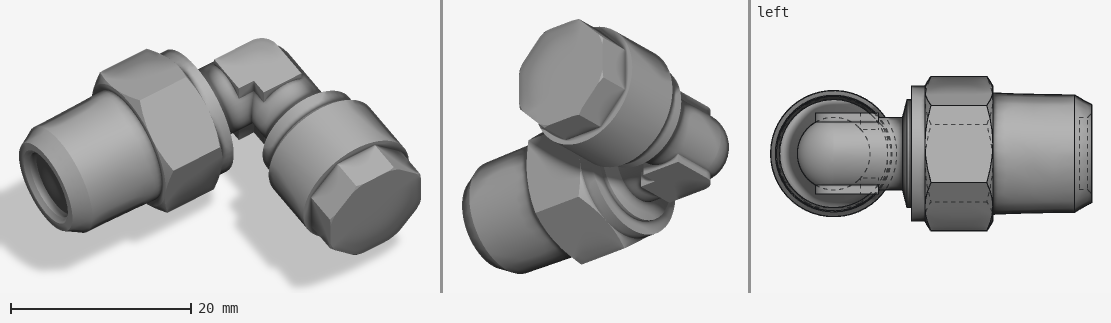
import cadquery as cq
import math


pipe_radius = 4.03
shoulder_radius = 6.0

block_height = 8.98
block_back = 2.0
block_front = 5.0
block_notch = 3.0

cap_shoulder_start = 8.65
cap_shoulder_cone_length = 0.35
cap_shoulder_round_length = 0.3
cap_shoulder_cone_radius = 5.4
cap_start = 11.55
cap_end = 19.1
cap_diameter = 14.0
cap_radius = cap_diameter / 2
cap_chamfer = 0.55
cap_mouth_radius = 6.35
cap_mouth_depth = 0.7
octagon_end = 23.1
octagon_sides = 8
octagon_across_flats = 2 * shoulder_radius
octagon_chamfer_radius = 6.2
octagon_chamfer_length = 0.18

neck_cone_start = 7.63
neck_start = 8.13
flange_start = 8.62
hex_start = 10.12
hex_end = 17.65
thread_chamfer_start = 26.7
overall_length = 35.65
thread_end = overall_length - cap_radius
thread_root_radius = 6.75
thread_tip_radius = 6.52
thread_chamfer_radius = 5.4

hex_sides = 6
hex_across_flats = 15.0
flange_radius = hex_across_flats / 2
hex_turn = 8.2
hex_chamfer_angle = 30

recess_radius = 4.0
recess_chamfer = 0.5
recess_depth = 1.4


def corner_radius(across_flats, sides):
    return across_flats / 2 / math.cos(math.pi / sides)


def make_elbow():
    cap_pipe = cq.Workplane("YZ").circle(pipe_radius).extrude(cap_shoulder_start)
    thread_pipe = cq.Workplane("XZ").circle(pipe_radius).extrude(neck_cone_start)
    return cap_pipe.union(thread_pipe).union(cq.Workplane("XY").sphere(pipe_radius))


def make_block():
    arc_middle = block_back * math.sqrt(0.5)
    return (
        cq.Workplane("XY")
        .moveTo(0, block_back)
        .lineTo(block_front, block_back)
        .lineTo(block_front, -block_notch)
        .lineTo(block_notch, -block_notch)
        .lineTo(block_notch, -block_front)
        .lineTo(-block_back, -block_front)
        .lineTo(-block_back, 0)
        .threePointArc((-arc_middle, arc_middle), (0, block_back))
        .close()
        .extrude(block_height / 2, both=True)
    )


def make_cap_arm():
    cone_end = cap_shoulder_start + cap_shoulder_cone_length
    round_end = cone_end + cap_shoulder_round_length
    turned = (
        cq.Workplane("XY")
        .moveTo(cap_shoulder_start, 0)
        .lineTo(cap_shoulder_start, pipe_radius)
        .lineTo(cone_end, cap_shoulder_cone_radius)
        .tangentArcPoint((round_end, shoulder_radius), relative=False)
        .lineTo(cap_start + cap_mouth_depth, shoulder_radius)
        .lineTo(cap_start, cap_mouth_radius)
        .lineTo(cap_start, cap_radius - cap_chamfer)
        .lineTo(cap_start + cap_chamfer, cap_radius)
        .lineTo(cap_end, cap_radius)
        .lineTo(cap_end, 0)
        .close()
        .revolve(360, (0, 0), (1, 0))
    )
    outer = corner_radius(octagon_across_flats, octagon_sides)
    octagon = (
        cq.Workplane("YZ", origin=(cap_end, 0, 0))
        .transformed(rotate=(0, 0, 180 / octagon_sides))
        .polygon(octagon_sides, 2 * outer)
        .extrude(octagon_end - cap_end)
    )
    envelope = (
        cq.Workplane("XY")
        .moveTo(cap_end, 0)
        .lineTo(cap_end, outer)
        .lineTo(octagon_end - octagon_chamfer_length, outer)
        .lineTo(octagon_end, octagon_chamfer_radius)
        .lineTo(octagon_end, 0)
        .close()
        .revolve(360, (0, 0), (1, 0))
    )
    return turned.union(octagon.intersect(envelope))


def make_hexagon():
    outer = corner_radius(hex_across_flats, hex_sides)
    chamfer_length = (outer - flange_radius) * math.tan(math.radians(hex_chamfer_angle))
    prism = (
        cq.Workplane("XZ", origin=(0, -hex_start, 0))
        .transformed(rotate=(0, 0, 90 - hex_turn))
        .polygon(hex_sides, 2 * outer)
        .extrude(hex_end - hex_start)
    )
    envelope = (
        cq.Workplane("XY")
        .moveTo(0, -hex_start)
        .lineTo(flange_radius, -hex_start)
        .lineTo(outer, -hex_start - chamfer_length)
        .lineTo(outer, -hex_end + chamfer_length)
        .lineTo(flange_radius, -hex_end)
        .lineTo(0, -hex_end)
        .close()
        .revolve(360, (0, 0), (0, 1))
    )
    return prism.intersect(envelope)


def make_threaded_arm():
    turned = (
        cq.Workplane("XY")
        .moveTo(0, -neck_cone_start)
        .lineTo(pipe_radius, -neck_cone_start)
        .lineTo(shoulder_radius, -neck_start)
        .lineTo(shoulder_radius, -flange_start)
        .lineTo(flange_radius, -flange_start)
        .lineTo(flange_radius, -hex_start)
        .lineTo(thread_root_radius, -hex_start)
        .lineTo(thread_root_radius, -hex_end)
        .lineTo(thread_tip_radius, -thread_chamfer_start)
        .lineTo(thread_chamfer_radius, -thread_end)
        .lineTo(0, -thread_end)
        .close()
        .revolve(360, (0, 0), (0, 1))
    )
    return turned.union(make_hexagon())


def make_recess():
    return (
        cq.Workplane("XY")
        .moveTo(0, -thread_end)
        .lineTo(recess_radius + recess_chamfer, -thread_end)
        .lineTo(recess_radius, -thread_end + recess_chamfer)
        .lineTo(recess_radius, -thread_end + recess_depth)
        .lineTo(0, -thread_end + recess_depth)
        .close()
        .revolve(360, (0, 0), (0, 1))
    )


result = (
    make_elbow()
    .union(make_block())
    .union(make_cap_arm())
    .union(make_threaded_arm())
    .cut(make_recess())
)